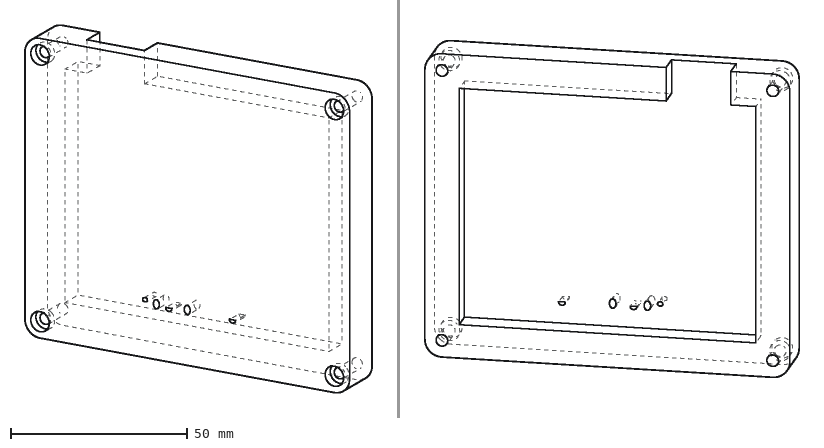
import cadquery as cq

WIDTH = 105.8
DEPTH = 13.0
HEIGHT = 90.0
CORNER_RADIUS = 5.0

HOLE_DIAMETER = 3.4
COUNTERBORE_DIAMETER = 6.0
COUNTERBORE_DEPTH = 3.0
HOLE_SPACING_X = WIDTH - 2 * CORNER_RADIUS
HOLE_SPACING_Z = HEIGHT - 2 * CORNER_RADIUS

RIM_WIDTH = 2 * CORNER_RADIUS
CAVITY_DEPTH = 7.5

NOTCH_WIDTH = 18.7
NOTCH_LEFT_OFFSET = 17.1

FRONT_WALL = DEPTH - CAVITY_DEPTH
OVAL_PLUG_WIDTH = 1.9
OVAL_PLUG_HEIGHT = 2.7
OVAL_PLUG_CENTRES = [(-10.0, -28.3), (0.0, -28.3)]
SMALL_PLUG_WIDTH = 1.6
SMALL_PLUG_HEIGHT = 1.3
SMALL_PLUG_CENTRE = (-13.7, -27.6)

HALF_PLUG_RADIUS = 1.0
HALF_PLUG_FLATS = [(-6.0, -28.8), (14.7, -28.8)]


def make_block():
    """Block centred on the origin with its four Y edges rounded."""
    return cq.Workplane("XY").box(WIDTH, DEPTH, HEIGHT).edges("|Y").fillet(CORNER_RADIUS)


def cut_screw_holes(body):
    """Four through holes with their counterbores in the -Y face."""
    return (
        body.faces("<Y")
        .workplane(centerOption="CenterOfBoundBox")
        .rect(HOLE_SPACING_X, HOLE_SPACING_Z, forConstruction=True)
        .vertices()
        .cboreHole(HOLE_DIAMETER, COUNTERBORE_DIAMETER, COUNTERBORE_DEPTH)
    )


def cut_cavity(body):
    """Rectangular pocket sunk from the +Y face."""
    cavity = cq.Workplane("XY").box(WIDTH - 2 * RIM_WIDTH, CAVITY_DEPTH, HEIGHT - 2 * RIM_WIDTH)
    return body.cut(cavity.translate((0, (DEPTH - CAVITY_DEPTH) / 2, 0)))


def cut_notch(body):
    """Gap in the top rim, as deep along Y as the cavity."""
    notch = cq.Workplane("XY").box(NOTCH_WIDTH, CAVITY_DEPTH, RIM_WIDTH, centered=False)
    corner = (NOTCH_LEFT_OFFSET - WIDTH / 2, DEPTH / 2 - CAVITY_DEPTH, HEIGHT / 2 - RIM_WIDTH)
    return body.cut(notch.translate(corner))


def front_plane():
    """Sketch plane on the -Y face, with X right, Z up and -Y as its normal."""
    return cq.Workplane("XZ", origin=(0, -DEPTH / 2, 0))


def make_oval_plug(centre, width, height):
    """Elliptical plug as long as the front wall is thick."""
    return front_plane().center(*centre).ellipse(width / 2, height / 2).extrude(-FRONT_WALL)


def make_half_plug(flat_middle):
    """Half-round plug with its flat side up."""
    return (
        front_plane()
        .center(*flat_middle)
        .moveTo(-HALF_PLUG_RADIUS, 0)
        .threePointArc((0, -HALF_PLUG_RADIUS), (HALF_PLUG_RADIUS, 0))
        .close()
        .extrude(-FRONT_WALL)
    )


oval_plugs = [make_oval_plug(centre, OVAL_PLUG_WIDTH, OVAL_PLUG_HEIGHT) for centre in OVAL_PLUG_CENTRES]
small_plug = make_oval_plug(SMALL_PLUG_CENTRE, SMALL_PLUG_WIDTH, SMALL_PLUG_HEIGHT)
half_plugs = [make_half_plug(flat_middle) for flat_middle in HALF_PLUG_FLATS]
plugs = [*oval_plugs, small_plug, *half_plugs]

housing = cut_notch(cut_cavity(cut_screw_holes(make_block())))
for plug in plugs:
    housing = housing.cut(plug)

result = cq.Compound.makeCompound([housing.val(), *[plug.val() for plug in plugs]])